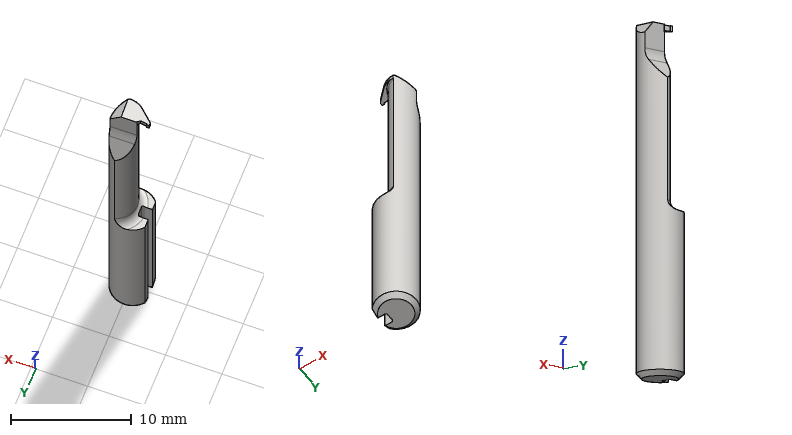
import cadquery as cq
import math

length = 30.0
shank_radius = 1.995
flat_x = -1.545
end_chamfer = 0.45

keyway_width = 1.0
keyway_floor_x = -0.645
keyway_corner_radius = 0.15

shoulder_z = 14.0
neck_radius = 1.8
neck_center_x = 1.395
neck_fillet = 0.78

face_y = 0.12
relief_start_z = 27.1
relief_angle = 39.6
relief_blend_radius = 1.6

head_thickness = 0.48
head_z = length - head_thickness
tip_x = -1.455
tip_top_y = 0.045
tip_bottom_y = -0.25
tip_land = 0.25
chip_groove_y = -0.045
chip_groove_end = (-0.63, -0.12)
groove_exit_x = -0.33
flank_end = (-0.3, -1.32)
back_mid = (0.27, -1.65)
back_end = (1.0, -1.77)
head_back_x = 1.5
root_fillet = 0.12
side_relief_angle = 2.5

nose_chamfer = 1.005

clearance = 3.0
relief_rise = clearance * math.tan(math.radians(side_relief_angle))


def bar():
    """Full-length round bar, chamfered at the lower end."""
    return cq.Workplane("XY").circle(shank_radius).extrude(length).faces("<Z").chamfer(end_chamfer)


def flat_cutter():
    """Material on the -X side of the clamping flat."""
    return cq.Workplane("XY").box(
        clearance, 2 * clearance, length, centered=(False, True, False)
    ).translate((flat_x - clearance, 0, 0))


def keyway_cutter():
    """Straight groove with rounded floor corners, below the head."""
    return (
        cq.Workplane("XY")
        .box(clearance, keyway_width, shoulder_z + neck_fillet, centered=(False, True, False))
        .translate((keyway_floor_x - clearance, 0, 0))
        .edges("|Z and >X")
        .fillet(keyway_corner_radius)
    )


def neck_cutter():
    """Everything outside the neck, with a concave sweep into the shoulder."""
    outer_radius = neck_radius + clearance
    return (
        cq.Workplane("XZ")
        .moveTo(neck_radius, length)
        .lineTo(neck_radius, shoulder_z + neck_fillet)
        .radiusArc((neck_radius + neck_fillet, shoulder_z), -neck_fillet)
        .lineTo(outer_radius, shoulder_z)
        .lineTo(outer_radius, length)
        .close()
        .revolve(360, (0, 0, 0), (0, 1, 0))
        .translate((neck_center_x, 0, 0))
    )


def head_outline():
    """Hooked tip, chip groove and curved back, as a tall prism within the bar surface."""
    return (
        cq.Workplane("XY")
        .moveTo(tip_x, tip_bottom_y)
        .lineTo(tip_x, tip_top_y)
        .lineTo(tip_x + tip_land, tip_top_y)
        .lineTo(tip_x + tip_land, chip_groove_y)
        .lineTo(*chip_groove_end)
        .lineTo(groove_exit_x, face_y)
        .lineTo(head_back_x, face_y)
        .lineTo(head_back_x, back_end[1])
        .lineTo(*back_end)
        .threePointArc(back_mid, flank_end)
        .close()
        .extrude(length)
        .intersect(cq.Workplane("XY").circle(shank_radius).extrude(length))
    )


def head_slab():
    """Flat-topped slab whose underside rises away from the cutting face."""
    return (
        cq.Workplane("YZ", origin=(-clearance, 0, 0))
        .moveTo(face_y, length)
        .lineTo(face_y, head_z)
        .lineTo(face_y - clearance, head_z + relief_rise)
        .lineTo(face_y - clearance, length)
        .close()
        .extrude(2 * clearance)
    )


def root_flare():
    """Concave flare where the neck widens into the underside of the head."""
    return (
        cq.Workplane("XZ")
        .moveTo(0, head_z - root_fillet)
        .lineTo(neck_radius, head_z - root_fillet)
        .radiusArc((neck_radius + root_fillet, head_z), root_fillet)
        .lineTo(neck_radius + root_fillet, head_z + relief_rise)
        .lineTo(0, head_z + relief_rise)
        .close()
        .revolve(360, (0, 0, 0), (0, 1, 0))
        .translate((neck_center_x, 0, 0))
    )


def top_relief_cutter():
    """Wedge that slopes the top down away from the cutting face."""
    return (
        cq.Workplane("YZ", origin=(-clearance, 0, 0))
        .moveTo(face_y, length)
        .lineTo(face_y - clearance, length - relief_rise)
        .lineTo(face_y - clearance, length)
        .close()
        .extrude(2 * clearance)
    )


def relief_cutter():
    """Open the +Y side down to the cutting face, blending into a slope."""
    slope_height = clearance / math.tan(math.radians(relief_angle))
    return (
        cq.Workplane("YZ", origin=(-clearance, 0, 0))
        .moveTo(face_y, length)
        .lineTo(face_y, relief_start_z)
        .lineTo(face_y + clearance, relief_start_z - slope_height)
        .lineTo(face_y + clearance, length)
        .close()
        .extrude(2 * clearance)
        .edges(cq.selectors.NearestToPointSelector((0, face_y, relief_start_z)))
        .fillet(relief_blend_radius)
    )


def nose_cutter():
    """45 degree wedge off the +X corner of the tip."""
    return (
        cq.Workplane("XZ", origin=(0, clearance, 0))
        .moveTo(shank_radius - nose_chamfer, length)
        .lineTo(shank_radius, length - nose_chamfer)
        .lineTo(shank_radius + nose_chamfer, length - 2 * nose_chamfer)
        .lineTo(shank_radius + nose_chamfer, length)
        .close()
        .extrude(2 * clearance)
    )


shank = bar().cut(flat_cutter()).cut(neck_cutter()).cut(keyway_cutter())
head = head_slab().union(root_flare()).intersect(head_outline())
result = shank.cut(relief_cutter()).union(head).cut(top_relief_cutter()).cut(nose_cutter())